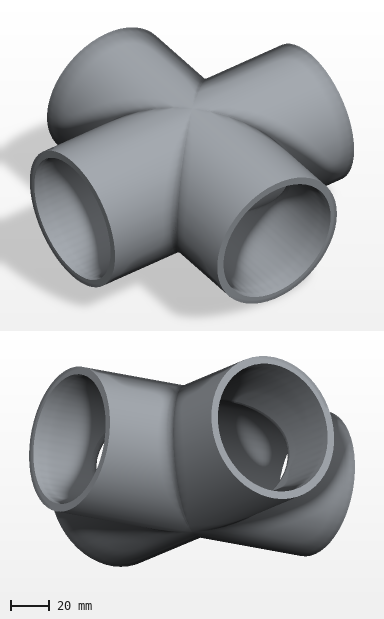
import cadquery as cq

LENGTH = 152.0
OUTER_DIAMETER = 76.2
BORE_DIAMETER = 68.1
WALL = (OUTER_DIAMETER - BORE_DIAMETER) / 2

OUTER_SEAM_RADIUS = 2.0
INNER_SEAM_RADIUS = OUTER_SEAM_RADIUS + WALL


def blended_cross(diameter, seam_radius):
    """Join two cylinders along X and Y, and blend the mitre seams where they meet."""
    along_x = cq.Workplane("YZ").circle(diameter / 2).extrude(LENGTH / 2, both=True)
    along_y = cq.Workplane("XZ").circle(diameter / 2).extrude(LENGTH / 2, both=True)
    cross = along_x.union(along_y)
    return cross.edges("not(%CIRCLE or %LINE)").fillet(seam_radius)


outer_body = blended_cross(OUTER_DIAMETER, OUTER_SEAM_RADIUS)
bore = blended_cross(BORE_DIAMETER, INNER_SEAM_RADIUS)

result = outer_body.cut(bore)